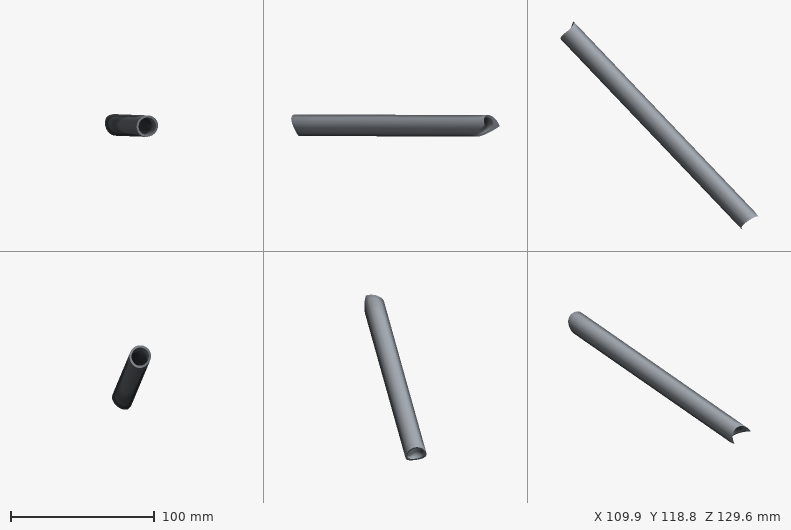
import cadquery as cq

tube_od = 15.0
wall = 1.5
lower_joint = cq.Vector(0, 0, 0)
upper_joint = cq.Vector(104.48, -116.93, 126.22)

lower_member_radius = tube_od / 2
lower_member_axis = cq.Vector(0, 1, 0)
upper_member_radius = 13.45
upper_member_axis = cq.Vector(-0.138, 0.271, 0.953)

end_overrun = 20.0
member_length = 8 * tube_od

tube_line = upper_joint - lower_joint
tube_middle = lower_joint + tube_line * 0.5


def rod(middle, axis, length, radius):
    """Solid cylinder along axis, with its middle at the given point."""
    start = middle - axis.normalized() * (length / 2)
    return cq.Workplane(obj=cq.Solid.makeCylinder(radius, length, start, axis))


def uncut_tube():
    """Round tube along the joint line, longer than needed at both ends."""
    length = tube_line.Length + 2 * end_overrun
    outside = rod(tube_middle, tube_line, length, tube_od / 2)
    bore = rod(tube_middle, tube_line, length, tube_od / 2 - wall)
    return outside.cut(bore)


def cope_ends(tube):
    """Cut both members away and keep the piece lying between them."""
    lower_member = rod(lower_joint, lower_member_axis, member_length, lower_member_radius)
    upper_member = rod(upper_joint, upper_member_axis, member_length, upper_member_radius)
    pieces = tube.cut(lower_member).cut(upper_member)
    return pieces.solids(cq.selectors.NearestToPointSelector(tube_middle.toTuple()))


result = cope_ends(uncut_tube())